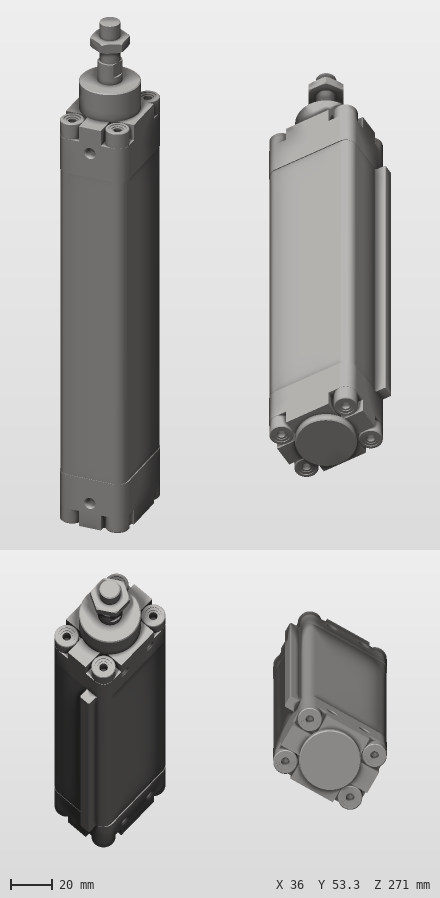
import cadquery as cq
import math


cap_width = 36.0
cap_depth = 48.0
cap_length = 26.8
cap_corner_radius = 6.0

tube_width = 35.0
tube_depth = 47.6
tube_length = 166.0
tube_corner_radius = 5.2
rail_width = 6.0
rail_center_x = -9.7
rail_height = 5.5
rail_tip_radius = 0.8
rail_foot_radius = 1.0

boss_diameter = 30.0
bottom_boss_height = 4.1
top_boss_height = 15.3
boss_chamfer = 0.5

screw_x = cap_width / 2 - cap_corner_radius
screw_y = cap_depth / 2 - cap_corner_radius
screw_pocket_depth = 8.2
screw_pocket_clearance = 0.2
screw_head_diameter = 11.8
screw_head_top_diameter = 11.05
screw_rim_diameter = 8.57
screw_rim_depth = 0.5
screw_socket_diameter = 6.0
screw_socket_depth = 1.0
screw_thread_diameter = 4.13
screw_thread_depth = 8.0

side_hole_distance = 13.6
side_hole_mouth_diameter = 6.0
side_hole_diameter = 4.62
side_hole_depth = 6.0
mounting_hole_spacing = 18.0
drill_point_angle = 118.0

rod_diameter = 12.0
rod_shoulder_height = 11.0
rod_flat_width = 10.0
rod_flat_length = 7.0
rod_flat_turn = -16.0
thread_diameter = 10.0
thread_length = 21.0
thread_tip_diameter = 8.65
thread_tip_height = 0.3

nut_sides = 6
nut_across_flats = 17.0
nut_thickness = 5.0
nut_face_diameter = 17.8
nut_tip_distance = 8.2
nut_chamfer_angle = 30.0

bottom_cap_z = bottom_boss_height
tube_bottom_z = bottom_cap_z + cap_length
tube_top_z = tube_bottom_z + tube_length
top_cap_z = tube_top_z + cap_length
boss_top_z = top_cap_z + top_boss_height
thread_start_z = boss_top_z + rod_shoulder_height
rod_tip_z = thread_start_z + thread_length
nut_top_z = rod_tip_z - nut_tip_distance
nut_bottom_z = nut_top_z - nut_thickness


def cylinder(diameter, bottom_z, top_z):
    """Vertical cylinder on the Z axis."""
    return cq.Workplane("XY", origin=(0, 0, bottom_z)).circle(diameter / 2).extrude(top_z - bottom_z)


def rounded_block(width, depth, corner_radius, bottom_z, height):
    """Vertical block centred on the Z axis, with rounded upright edges."""
    block = cq.Workplane("XY", origin=(0, 0, bottom_z)).rect(width, depth).extrude(height)
    return block.edges("|Z").fillet(corner_radius)


def mirror_to_bottom(top_feature):
    """Copy of a top-cap feature, mirrored onto the bottom cap."""
    middle_z = (bottom_cap_z + top_cap_z) / 2
    return top_feature.mirror("XY", (0, 0, middle_z))


def screw_head(x, y):
    """Socketed head of one corner screw in the top cap."""
    head = cylinder(screw_head_diameter, top_cap_z - screw_pocket_depth, top_cap_z)
    head = head.faces(">Z").chamfer((screw_head_diameter - screw_head_top_diameter) / 2)
    return head.translate((x, y, 0))


def screw_bore(x, y):
    """Stepped hole down the middle of one corner screw, ending in a drill point."""
    point_height = screw_thread_diameter / 2 / math.tan(math.radians(drill_point_angle / 2))
    profile = [
        (0, top_cap_z),
        (screw_rim_diameter / 2, top_cap_z),
        (screw_rim_diameter / 2, top_cap_z - screw_rim_depth),
        (screw_socket_diameter / 2, top_cap_z - screw_rim_depth),
        (screw_socket_diameter / 2, top_cap_z - screw_socket_depth),
        (screw_thread_diameter / 2, top_cap_z - screw_socket_depth),
        (screw_thread_diameter / 2, top_cap_z - screw_thread_depth),
        (0, top_cap_z - screw_thread_depth - point_height),
    ]
    bore = cq.Workplane("XZ").polyline(profile).close().revolve(360, (0, 0, 0), (0, 1, 0))
    return bore.translate((x, y, 0))


def side_hole(pointed):
    """Hole along +Z from the origin with a chamfered mouth, flat or drill-pointed at its end."""
    mouth_chamfer = (side_hole_mouth_diameter - side_hole_diameter) / 2
    profile = [
        (0, 0),
        (side_hole_mouth_diameter / 2, 0),
        (side_hole_diameter / 2, mouth_chamfer),
        (side_hole_diameter / 2, side_hole_depth),
    ]
    end_depth = side_hole_depth
    if pointed:
        end_depth += side_hole_diameter / 2 / math.tan(math.radians(drill_point_angle / 2))
    profile.append((0, end_depth))
    return cq.Workplane("XZ").polyline(profile).close().revolve(360, (0, 0, 0), (0, 1, 0))


def make_rail():
    """Side rail with rounded tip edges and concave feet where it leaves the tube."""
    face_y = tube_depth / 2
    tip_y = face_y + rail_height
    root_y = face_y - tube_corner_radius
    half_width = rail_width / 2
    half_foot = half_width + rail_foot_radius
    arc_inset = 1 - math.sqrt(0.5)
    foot_inset = rail_foot_radius * arc_inset
    tip_inset = rail_tip_radius * arc_inset
    foot_middle = (half_width + foot_inset, face_y + foot_inset)
    tip_middle = (half_width - tip_inset, tip_y - tip_inset)
    profile = (
        cq.Workplane("XY", origin=(rail_center_x, 0, tube_bottom_z))
        .moveTo(0, root_y)
        .lineTo(half_foot, root_y)
        .lineTo(half_foot, face_y)
        .threePointArc(foot_middle, (half_width, face_y + rail_foot_radius))
        .lineTo(half_width, tip_y - rail_tip_radius)
        .threePointArc(tip_middle, (half_width - rail_tip_radius, tip_y))
        .lineTo(0, tip_y)
        .mirrorY()
    )
    return profile.extrude(tube_length)


def make_housing():
    body = rounded_block(tube_width, tube_depth, tube_corner_radius, tube_bottom_z, tube_length)
    for cap_z in (bottom_cap_z, tube_top_z):
        body = body.union(rounded_block(cap_width, cap_depth, cap_corner_radius, cap_z, cap_length))
    body = body.union(make_rail())
    bottom_boss = cylinder(boss_diameter, 0, bottom_cap_z).faces("<Z").chamfer(boss_chamfer)
    top_boss = cylinder(boss_diameter, top_cap_z, boss_top_z).faces(">Z").chamfer(boss_chamfer)

    pocket_size = 2 * (cap_corner_radius + screw_pocket_clearance)
    pocket = cq.Workplane("XY").rect(pocket_size, pocket_size).extrude(screw_pocket_depth)
    for x in (-screw_x, screw_x):
        for y in (-screw_y, screw_y):
            corner_pocket = pocket.translate((x, y, top_cap_z - screw_pocket_depth))
            head = screw_head(x, y)
            bore = screw_bore(x, y)
            body = body.cut(corner_pocket).union(head).cut(bore)
            body = body.cut(mirror_to_bottom(corner_pocket))
            body = body.union(mirror_to_bottom(head)).cut(mirror_to_bottom(bore))
    body = body.union(bottom_boss).union(top_boss)

    port = side_hole(pointed=False).rotate((0, 0, 0), (1, 0, 0), -90)
    mounting_hole = side_hole(pointed=True).rotate((0, 0, 0), (0, 1, 0), 90)
    for hole_z in (bottom_cap_z + side_hole_distance, top_cap_z - side_hole_distance):
        body = body.cut(port.translate((0, -cap_depth / 2, hole_z)))
        for y in (-mounting_hole_spacing / 2, mounting_hole_spacing / 2):
            body = body.cut(mounting_hole.translate((-cap_width / 2, y, hole_z)))

    return body.cut(cylinder(rod_diameter, top_cap_z, boss_top_z))


def make_rod():
    shank = cylinder(rod_diameter, top_cap_z, thread_start_z)
    flat_cut = (rod_diameter - rod_flat_width) / 2
    for side in (-1, 1):
        flat = cq.Workplane("XY").box(flat_cut, rod_diameter, rod_flat_length)
        flat_x = side * (rod_flat_width + flat_cut) / 2
        flat = flat.translate((flat_x, 0, thread_start_z - rod_flat_length / 2))
        shank = shank.cut(flat.rotate((0, 0, 0), (0, 0, 1), rod_flat_turn))
    thread = cylinder(thread_diameter, thread_start_z, rod_tip_z)
    tip_inset = (thread_diameter - thread_tip_diameter) / 2
    thread = thread.faces(">Z").chamfer(thread_tip_height, tip_inset)
    return shank.union(thread)


def make_nut():
    half_side_angle = 180 / nut_sides
    across_corners = nut_across_flats / math.cos(math.radians(half_side_angle))
    nut = cq.Workplane("XY").polygon(nut_sides, across_corners).extrude(nut_thickness)
    nut = nut.rotate((0, 0, 0), (0, 0, 1), half_side_angle)
    face_radius = nut_face_diameter / 2
    corner_radius = across_corners / 2
    drop = (corner_radius - face_radius) * math.tan(math.radians(nut_chamfer_angle))
    envelope = (
        cq.Workplane("XZ")
        .polyline([
            (0, 0),
            (face_radius, 0),
            (corner_radius, drop),
            (corner_radius, nut_thickness - drop),
            (face_radius, nut_thickness),
            (0, nut_thickness),
        ])
        .close()
        .revolve(360, (0, 0, 0), (0, 1, 0))
    )
    nut = nut.intersect(envelope).translate((0, 0, nut_bottom_z))
    return nut.cut(cylinder(thread_diameter, nut_bottom_z, nut_top_z))


housing = make_housing()
rod = make_rod()
nut = make_nut()

result = cq.Compound.makeCompound([housing.val(), rod.val(), nut.val()])